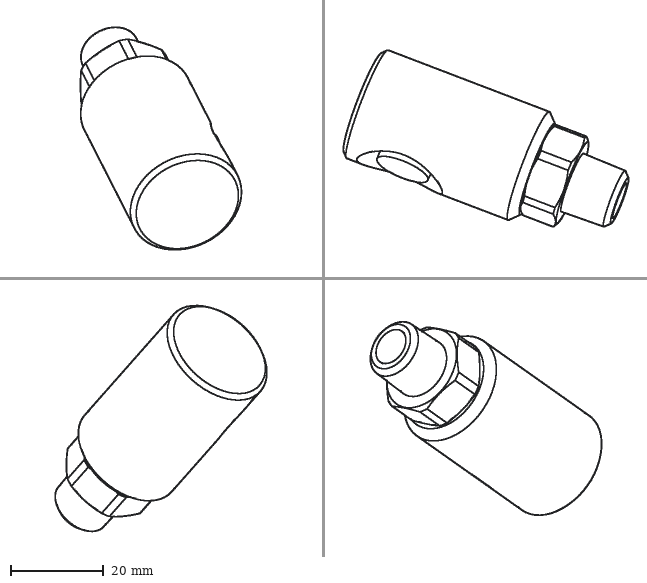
import cadquery as cq
import math

length = 59.5
nut_start = 10.95
nut_end = 19.1

spigot_tip_radius = 6.5
spigot_root_radius = 6.7
spigot_chamfer = 1.2
bore_radius = 4.05

nut_across_flats = 19.05
nut_corner_radius = 10.5
nut_front_face_radius = 9.4
nut_rear_face_radius = 9.65
nut_chamfer_angle = math.radians(30)

body_radius = 12.5
nose_chamfer = 1.95
end_chamfer = 1.0

recess_x = 46.0
recess_mouth_radius = 9.95
button_radius = 5.95
button_top_depth = 1.6


def revolve_about_x(points):
    """Turn a profile of (x, radius) points around the X axis."""
    return cq.Workplane("XY").polyline(points).close().revolve(360, (0, 0, 0), (1, 0, 0))


def cylinder_along_y(radius, y_start, height):
    """Round solid centred on the recess axis, growing toward +Y."""
    start = cq.Vector(recess_x, y_start, 0)
    return cq.Workplane(cq.Solid.makeCylinder(radius, height, start, cq.Vector(0, 1, 0)))


def make_spigot():
    return revolve_about_x([
        (0, 0),
        (0, spigot_tip_radius - spigot_chamfer),
        (spigot_chamfer, spigot_tip_radius),
        (nut_start, spigot_root_radius),
        (nut_start, 0),
    ])


def make_nut():
    hexagon = (
        cq.Workplane("YZ", origin=(nut_start, 0, 0))
        .polygon(6, nut_across_flats / math.cos(math.pi / 6))
        .extrude(nut_end - nut_start)
        .rotate((0, 0, 0), (1, 0, 0), 90)
    )
    front_chamfer = (nut_corner_radius - nut_front_face_radius) * math.tan(nut_chamfer_angle)
    rear_chamfer = (nut_corner_radius - nut_rear_face_radius) * math.tan(nut_chamfer_angle)
    turned_envelope = revolve_about_x([
        (nut_start, 0),
        (nut_start, nut_front_face_radius),
        (nut_start + front_chamfer, nut_corner_radius),
        (nut_end - rear_chamfer, nut_corner_radius),
        (nut_end, nut_rear_face_radius),
        (nut_end, 0),
    ])
    return hexagon.intersect(turned_envelope)


def make_body():
    return revolve_about_x([
        (nut_end, 0),
        (nut_end, body_radius - nose_chamfer),
        (nut_end + nose_chamfer, body_radius),
        (length - end_chamfer, body_radius),
        (length, body_radius - end_chamfer),
        (length, 0),
    ])


def make_recess():
    recess_depth = recess_mouth_radius - button_radius
    floor_y = body_radius - recess_depth
    cone = cq.Solid.makeCone(
        button_radius, recess_mouth_radius, recess_depth,
        cq.Vector(recess_x, floor_y, 0), cq.Vector(0, 1, 0),
    )
    button = cylinder_along_y(button_radius, floor_y, recess_depth - button_top_depth)
    return cq.Workplane(cone).cut(button)


bore = cq.Workplane("YZ").circle(bore_radius).extrude(nut_end)

result = make_spigot().union(make_nut()).union(make_body()).cut(make_recess()).cut(bore)